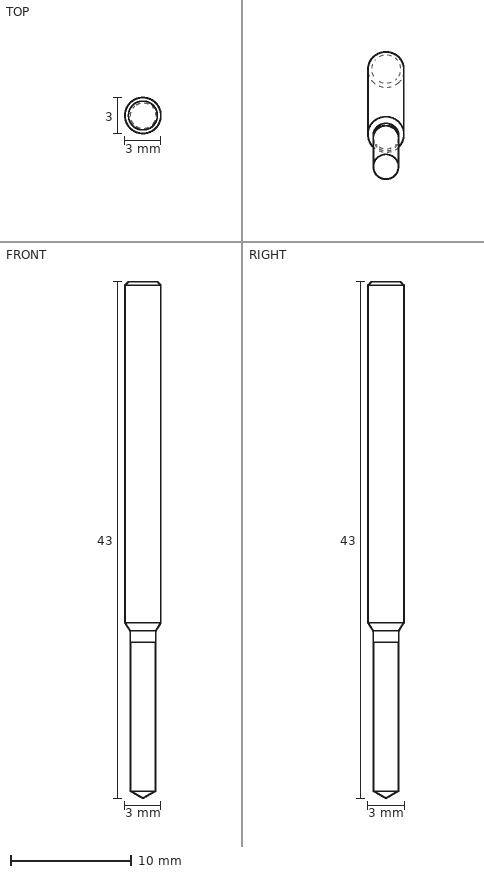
import cadquery as cq
import math

total_length = 43.0
shank_radius = 1.5
end_chamfer = 0.3
shoulder_height = 14.6
neck_top_height = 13.95
cutter_top_height = 13.0
neck_radius = 1.08
cutter_diameter = 2.1
point_angle = 120.0

cutter_radius = cutter_diameter / 2
point_height = cutter_radius / math.tan(math.radians(point_angle / 2))


def revolve_profile(points):
    """Turn a closed (radius, height) outline around the Z axis."""
    profile = cq.Workplane("XZ").polyline(points).close()
    return profile.revolve(360, (0, 0, 0), (0, 1, 0))


def make_shank():
    """Chamfered shank with a tapered shoulder leading to a short neck."""
    return revolve_profile([
        (0, cutter_top_height),
        (neck_radius, cutter_top_height),
        (neck_radius, neck_top_height),
        (shank_radius, shoulder_height),
        (shank_radius, total_length - end_chamfer),
        (shank_radius - end_chamfer, total_length),
        (0, total_length),
    ])


def make_cutter():
    """Plain cylindrical cutting part with a conical point."""
    return revolve_profile([
        (0, 0),
        (cutter_radius, point_height),
        (cutter_radius, cutter_top_height),
        (0, cutter_top_height),
    ])


shank = make_shank()
cutter = make_cutter()
result = cq.Compound.makeCompound([shank.val(), cutter.val()])